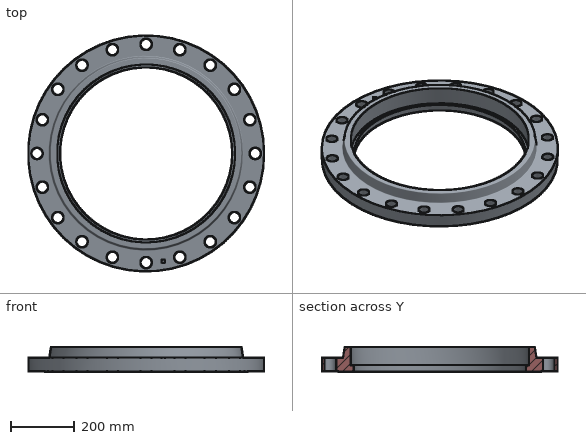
import cadquery as cq
import math

total_height = 79.5
raised_face_height = 2.0
flange_thickness = 43.5
flange_top = raised_face_height + flange_thickness
ledge_height = 22.0

flange_radius = 374.5
raised_face_radius = 322.0
hub_base_radius = 308.0
hub_top_radius = 303.0
hub_bore_radius = 282.5
lower_bore_radius = 273.0

hub_edge_fillet = 2.0

bolt_count = 20
bolt_circle_radius = 346.0
bolt_hole_diameter = 35.0
bolt_pitch_angle = 360 / bolt_count

blind_hole_diameter = 12.0
blind_hole_depth = 22.5
blind_hole_angle = -90 + bolt_pitch_angle / 2


def make_body():
    """Flange, tapered hub, raised face and stepped bore turned about Z."""
    section = [
        (lower_bore_radius, 0),
        (raised_face_radius, 0),
        (raised_face_radius, raised_face_height),
        (flange_radius, raised_face_height),
        (flange_radius, flange_top),
        (hub_base_radius, flange_top),
        (hub_top_radius, total_height),
        (hub_bore_radius, total_height),
        (hub_bore_radius, ledge_height),
        (lower_bore_radius, ledge_height),
    ]
    body = cq.Workplane("XZ").polyline(section).close().revolve(360, (0, 0), (0, 1))
    body = body.faces(">Z").edges(cq.selectors.RadiusNthSelector(-1)).fillet(hub_edge_fillet)
    body = body.faces("|Z").faces(">Z[-2]").edges(cq.selectors.RadiusNthSelector(0)).fillet(hub_edge_fillet)
    return body


def make_bolt_holes():
    """Ring of through holes, with one hole on the +X axis."""
    return (
        cq.Workplane("XY")
        .polarArray(bolt_circle_radius, 0, 360, bolt_count)
        .circle(bolt_hole_diameter / 2)
        .extrude(total_height)
    )


def make_blind_hole():
    """Flat-bottomed hole sunk into the flange top on the bolt circle."""
    angle = math.radians(blind_hole_angle)
    return (
        cq.Workplane("XY", origin=(0, 0, flange_top))
        .center(bolt_circle_radius * math.cos(angle), bolt_circle_radius * math.sin(angle))
        .circle(blind_hole_diameter / 2)
        .extrude(-blind_hole_depth)
    )


result = make_body().cut(make_bolt_holes()).cut(make_blind_hole())